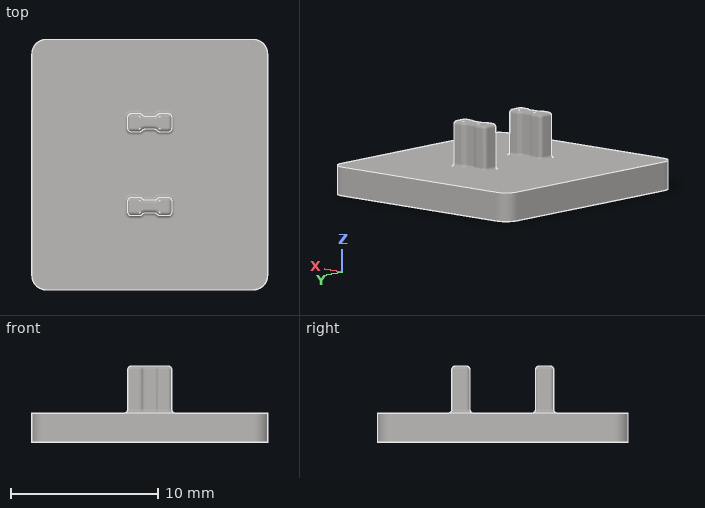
import cadquery as cq

PLATE_LENGTH_X = 16.05
PLATE_LENGTH_Y = 17.05
PLATE_THICKNESS = 2.0
PLATE_CORNER_RADIUS = 1.0

OVERALL_HEIGHT = 5.2
PRONG_HEIGHT = OVERALL_HEIGHT - PLATE_THICKNESS
PRONG_LENGTH = 3.0
PRONG_WIDTH = 1.25
PRONG_SPACING = 5.7
PRONG_CORNER_RADIUS = 0.25
TOP_FILLET_RADIUS = 0.25
FOOT_FILLET_RADIUS = 0.25

GROOVE_FLOOR_WIDTH = 0.6
GROOVE_MOUTH_WIDTH = 1.42
GROOVE_DEPTH = 0.19


def make_plate():
    plate = cq.Workplane("XY").box(
        PLATE_LENGTH_X, PLATE_LENGTH_Y, PLATE_THICKNESS, centered=(True, True, False)
    )
    return plate.edges("|Z").fillet(PLATE_CORNER_RADIUS)


def draw_long_side(outline, side):
    """Continue the outline along one long face: +X to -X for side=1, -X to +X for side=-1."""
    face_y = side * PRONG_WIDTH / 2
    floor_y = face_y - side * GROOVE_DEPTH
    middle_y = (face_y + floor_y) / 2
    floor_x = side * GROOVE_FLOOR_WIDTH / 2
    mouth_x = side * GROOVE_MOUTH_WIDTH / 2
    middle_x = (floor_x + mouth_x) / 2
    end_x = side * (PRONG_LENGTH / 2 - PRONG_CORNER_RADIUS)
    return (
        outline.lineTo(mouth_x, face_y)
        .tangentArcPoint((middle_x, middle_y), relative=False)
        .tangentArcPoint((floor_x, floor_y), relative=False)
        .lineTo(-floor_x, floor_y)
        .tangentArcPoint((-middle_x, middle_y), relative=False)
        .tangentArcPoint((-mouth_x, face_y), relative=False)
        .lineTo(-end_x, face_y)
    )


def draw_rounded_end(outline, side):
    """Continue the outline round the -X end (side=1) or the +X end (side=-1)."""
    end_x = -side * PRONG_LENGTH / 2
    corner_x = end_x + side * PRONG_CORNER_RADIUS
    face_y = side * PRONG_WIDTH / 2
    corner_y = face_y - side * PRONG_CORNER_RADIUS
    return (
        outline.tangentArcPoint((end_x, corner_y), relative=False)
        .lineTo(end_x, -corner_y)
        .tangentArcPoint((corner_x, -face_y), relative=False)
    )


def make_prong(center_y):
    outline = cq.Workplane("XY").moveTo(PRONG_LENGTH / 2 - PRONG_CORNER_RADIUS, PRONG_WIDTH / 2)
    for side in (1, -1):
        outline = draw_long_side(outline, side)
        outline = draw_rounded_end(outline, side)
    prong = outline.close().extrude(PRONG_HEIGHT)
    prong = prong.faces(">Z").edges().fillet(TOP_FILLET_RADIUS)
    return prong.translate((0, center_y, PLATE_THICKNESS))


def fillet_prong_feet(body):
    """Blend the prongs into the top face of the plate."""
    foot_zone = cq.selectors.BoxSelector(
        (-PRONG_LENGTH, -PRONG_SPACING, PLATE_THICKNESS - FOOT_FILLET_RADIUS),
        (PRONG_LENGTH, PRONG_SPACING, PLATE_THICKNESS + FOOT_FILLET_RADIUS),
    )
    return body.edges(foot_zone).fillet(FOOT_FILLET_RADIUS)


body = make_plate()
for center_y in (-PRONG_SPACING / 2, PRONG_SPACING / 2):
    body = body.union(make_prong(center_y))

result = fillet_prong_feet(body)